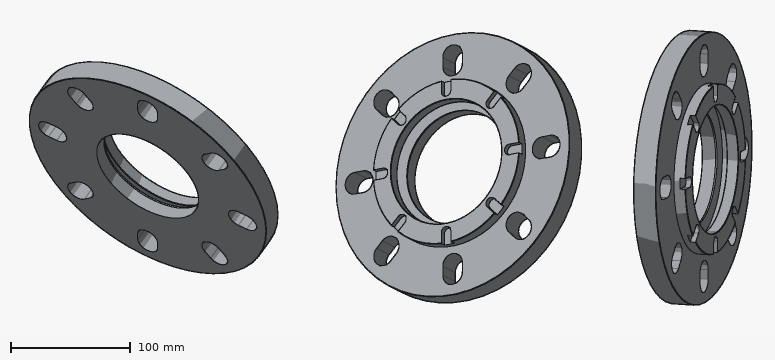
import cadquery as cq
total_depth = 30.5
flange_diameter = 228.5
flange_thickness = 20.1
bore_diameter = 98.0
edge_chamfer = 0.5

bolt_slot_count = 8
bolt_circle_diameter = 182.9
bolt_slot_width = 19.0
bolt_slot_length = 27.0

pocket_diameter = 123.5
lip_thickness = 12.0
gasket_thickness = 1.4

ring_diameter = 142.9
ring_bore_diameter = 108.1

notch_count = 8
notch_width = 9.1
notch_depth = 4.8
notch_floor_diameter = 114.3

front_y = -total_depth / 2
back_y = front_y + total_depth
flange_back_y = front_y + flange_thickness
pocket_floor_y = front_y + lip_thickness
gasket_back_y = pocket_floor_y + gasket_thickness


def disc(diameter, start_y, end_y):
    """A solid cylinder on the Y axis."""
    plane = cq.Workplane("XZ", origin=(0, start_y, 0))
    return plane.circle(diameter / 2).extrude(start_y - end_y)


def radial_slots(count, length, width, circle_diameter, start_y, end_y):
    """Round-ended slot cutters along Y, spaced evenly on a circle, long sides pointing to the axis."""
    plane = cq.Workplane("XZ", origin=(0, start_y, 0))
    places = plane.polarArray(circle_diameter / 2, 0, 360, count)
    return places.slot2D(length, width).extrude(start_y - end_y)


def make_flange():
    body = disc(flange_diameter, front_y, flange_back_y).edges().chamfer(edge_chamfer)
    body = body.cut(disc(bore_diameter, front_y, flange_back_y))
    body = body.cut(disc(pocket_diameter, pocket_floor_y, flange_back_y))
    bolt_slots = radial_slots(
        bolt_slot_count, bolt_slot_length, bolt_slot_width, bolt_circle_diameter, front_y, flange_back_y
    )
    return body.cut(bolt_slots)


def make_gasket():
    body = disc(pocket_diameter, pocket_floor_y, gasket_back_y)
    return body.cut(disc(bore_diameter, pocket_floor_y, gasket_back_y))


def make_ring():
    body = disc(ring_diameter, flange_back_y, back_y)
    body = body.cut(disc(ring_bore_diameter, flange_back_y, back_y))
    body = body.faces(">Y").edges().chamfer(edge_chamfer)
    body = body.faces("<Y").edges(cq.selectors.RadiusNthSelector(0)).chamfer(edge_chamfer)
    inner_end = notch_floor_diameter / 2
    outer_end = ring_diameter / 2 + notch_width
    notches = radial_slots(
        notch_count, outer_end - inner_end, notch_width, inner_end + outer_end, back_y - notch_depth, back_y
    )
    return body.cut(notches)


flange = make_flange()
gasket = make_gasket()
retaining_ring = make_ring()
result = cq.Compound.makeCompound([flange.val(), gasket.val(), retaining_ring.val()])